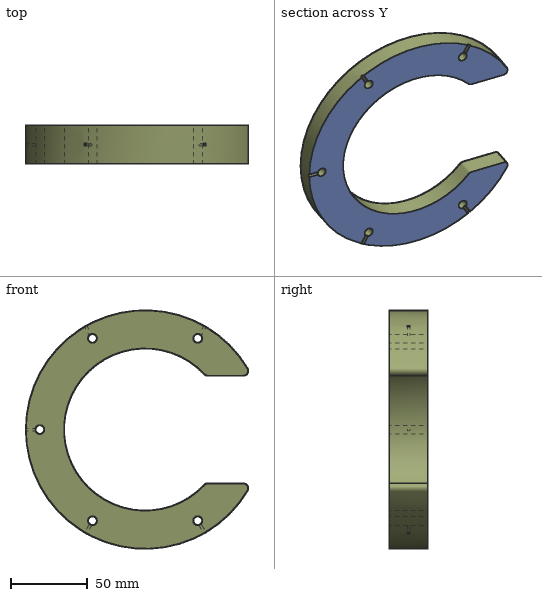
import cadquery as cq

outer_radius = 77.5
inner_radius = 52.5
thickness = 25.1
gap_width = 69.7
corner_radius = 3.3

bolt_diameter = 5.6
bolt_circle_radius = 68.3
radial_diameter = 1.7
hole_angles = [60, 120, 180, 240, 300]


def make_ring():
    """Ring centred on the origin, open towards +X, with rounded ends."""
    ring = (
        cq.Workplane("XZ")
        .circle(outer_radius)
        .circle(inner_radius)
        .extrude(thickness / 2, both=True)
    )
    gap = cq.Workplane("XY").box(
        2 * outer_radius, 2 * thickness, gap_width, centered=(False, True, True)
    )
    ring = ring.cut(gap)
    end_edges = cq.selectors.BoxSelector(
        (1.5, -thickness, -gap_width / 2 - 1.5),
        (outer_radius, thickness, gap_width / 2 + 1.5),
    )
    return ring.edges("|Y").edges(end_edges).fillet(corner_radius)


def make_hole_pair(angle):
    """Axial through hole and the radial hole that runs into it."""
    bolt_hole = (
        cq.Workplane("XZ")
        .center(bolt_circle_radius, 0)
        .circle(bolt_diameter / 2)
        .extrude(thickness, both=True)
    )
    radial_hole = (
        cq.Workplane("YZ", origin=(bolt_circle_radius, 0, 0))
        .circle(radial_diameter / 2)
        .extrude(outer_radius)
    )
    return bolt_hole.union(radial_hole).rotate((0, 0, 0), (0, 1, 0), angle)


result = make_ring()
for hole_angle in hole_angles:
    result = result.cut(make_hole_pair(hole_angle))